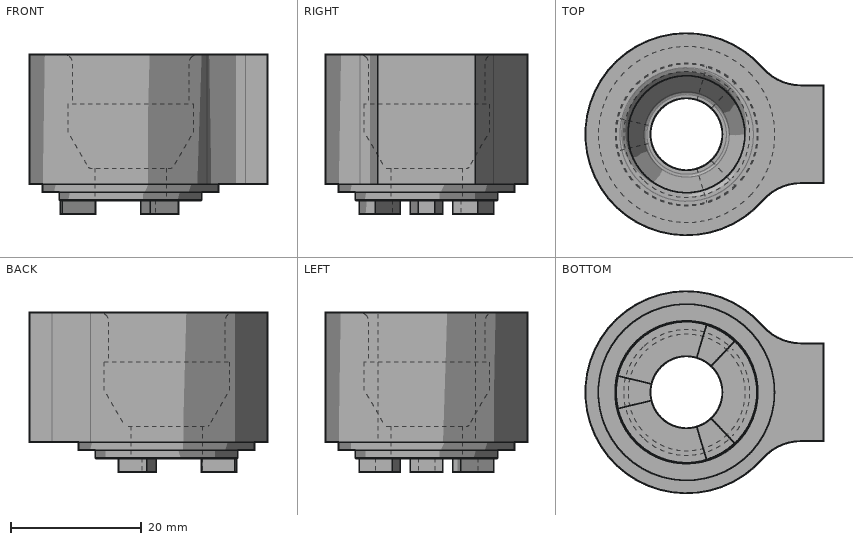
import cadquery as cq
import math

body_radius = 31.0 / 2
body_height = 19.9
lug_width = 15.0
overall_length = 36.5
lug_end = overall_length - body_radius
lug_blend_radius = 7.85

upper_step_radius = 13.5
upper_step_height = 1.2
lower_step_radius = 10.95
lower_step_height = 1.3
step_chamfer = 0.15

tooth_count = 3
tooth_height = 2.08
tooth_outer_radius = 10.75
tooth_half_angle = math.radians(13.4)

mouth_radius = 17.92 / 2
mouth_round = 1.28
chamber_radius = 19.3 / 2
chamber_depth = 7.6
cone_start_depth = 11.8
cone_end_radius = 6.4
cone_slope = math.radians(60)
seat_round = 0.5
chamber_round = 0.75
through_radius = 11.0 / 2

tooth_root_radius = through_radius / 2
base_z = -(upper_step_height + lower_step_height)
tooth_tip_z = base_z - tooth_height


def make_body():
    """Round body joined to a flat-ended lug by concave arcs."""
    half_width = lug_width / 2
    blend_y = half_width + lug_blend_radius
    centre_distance = body_radius + lug_blend_radius
    blend_x = math.sqrt(centre_distance**2 - blend_y**2)
    tangent_x = blend_x * body_radius / centre_distance
    tangent_y = blend_y * body_radius / centre_distance

    start_angle = math.atan2(-blend_y, -blend_x)
    middle_angle = (start_angle - math.pi / 2) / 2
    middle_x = blend_x + lug_blend_radius * math.cos(middle_angle)
    middle_y = blend_y + lug_blend_radius * math.sin(middle_angle)

    return (
        cq.Workplane("XY")
        .moveTo(lug_end, -half_width)
        .lineTo(lug_end, half_width)
        .lineTo(blend_x, half_width)
        .threePointArc((middle_x, middle_y), (tangent_x, tangent_y))
        .threePointArc((-body_radius, 0), (tangent_x, -tangent_y))
        .threePointArc((middle_x, -middle_y), (blend_x, -half_width))
        .close()
        .extrude(body_height)
    )


def make_base():
    """Two round steps, the lower one chamfered at its bottom rim."""
    upper = cq.Workplane("XY").circle(upper_step_radius).extrude(-upper_step_height)
    lower = (
        cq.Workplane("XY", origin=(0, 0, base_z))
        .circle(lower_step_radius)
        .extrude(lower_step_height)
        .faces("<Z")
        .chamfer(step_chamfer)
    )
    return upper.union(lower)


def make_tooth(direction):
    """Sector hanging below the base; the through hole later trims its inner end."""

    def point(radius, offset):
        angle = direction + offset
        return (radius * math.cos(angle), radius * math.sin(angle))

    return (
        cq.Workplane("XY", origin=(0, 0, base_z))
        .moveTo(*point(tooth_root_radius, -tooth_half_angle))
        .lineTo(*point(tooth_outer_radius, -tooth_half_angle))
        .threePointArc(point(tooth_outer_radius, 0), point(tooth_outer_radius, tooth_half_angle))
        .lineTo(*point(tooth_root_radius, tooth_half_angle))
        .close()
        .extrude(-tooth_height)
    )


def corner_arc(corner, direction_in, direction_out, radius):
    """Start, middle and end of the arc rounding a clockwise corner between two directions."""
    turn = direction_in - direction_out
    setback = radius * math.tan(turn / 2)
    start = (
        corner[0] - setback * math.cos(direction_in),
        corner[1] - setback * math.sin(direction_in),
    )
    end = (
        corner[0] + setback * math.cos(direction_out),
        corner[1] + setback * math.sin(direction_out),
    )
    bisector = (direction_in + direction_out) / 2 - math.pi / 2
    corner_gap = radius / math.cos(turn / 2) - radius
    middle = (
        corner[0] + corner_gap * math.cos(bisector),
        corner[1] + corner_gap * math.sin(bisector),
    )
    return start, middle, end


def make_bore():
    """Rounded mouth, wider chamber, conical seat and through hole."""
    top = body_height
    mouth_bend = mouth_round * (1 - math.sqrt(0.5))
    mouth = (
        cq.Workplane("XZ")
        .moveTo(0, top)
        .lineTo(mouth_radius + mouth_round, top)
        .threePointArc(
            (mouth_radius + mouth_bend, top - mouth_bend),
            (mouth_radius, top - mouth_round),
        )
        .lineTo(mouth_radius, top - chamber_depth)
        .lineTo(0, top - chamber_depth)
        .close()
        .revolve(360, (0, 0), (0, 1))
    )
    seat_depth = cone_start_depth + (chamber_radius - cone_end_radius) * math.tan(cone_slope)
    wall_end = (chamber_radius, top - cone_start_depth)
    cone_end = (cone_end_radius, top - seat_depth)
    wall_direction = -math.pi / 2
    cone_direction = -math.pi + cone_slope
    seat_direction = -math.pi
    chamber_arc = corner_arc(wall_end, wall_direction, cone_direction, chamber_round)
    seat_arc = corner_arc(cone_end, cone_direction, seat_direction, seat_round)
    chamber = (
        cq.Workplane("XZ")
        .moveTo(0, top - chamber_depth)
        .lineTo(chamber_radius, top - chamber_depth)
        .lineTo(*chamber_arc[0])
        .threePointArc(*chamber_arc[1:])
        .lineTo(*seat_arc[0])
        .threePointArc(*seat_arc[1:])
        .lineTo(0, top - seat_depth)
        .close()
        .revolve(360, (0, 0), (0, 1))
    )
    hole = (
        cq.Workplane("XY", origin=(0, 0, tooth_tip_z))
        .circle(through_radius)
        .extrude(top - seat_depth - tooth_tip_z)
    )
    return mouth.union(chamber).union(hole)


result = make_body().union(make_base())
for index in range(tooth_count):
    result = result.union(make_tooth(math.pi + index * math.tau / tooth_count))
result = result.cut(make_bore())